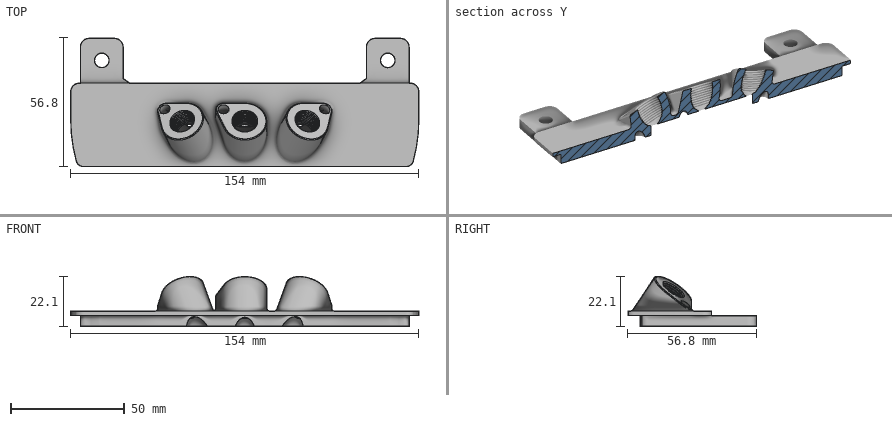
import cadquery as cq
import math

PLATE_LENGTH = 154.0
PLATE_DEPTH = 37.0
PLATE_THICKNESS = 2.0
PLATE_BACK_RADIUS = 4.0
PLATE_FRONT_RADIUS = 3.5
PLATE_STRAIGHT_DEPTH = 16.0
PLATE_FRONT_INSET = 3.2

BRACKET_LENGTH = 145.4
BRACKET_HEIGHT = 4.8
RAIL_FRONT_Y = -31.6
RAIL_BACK_Y = -19.25
RAIL_STEP = 0.7
RAIL_STEP_OUTER_X = 68.0
RAIL_STEP_INNER_X = 64.2
RAIL_CORNER_RADIUS = 2.4
TAB_WIDTH = 19.0
TAB_BACK_Y = 19.8
TAB_CORNER_RADIUS = 4.0
TAB_HOLE_DIAMETER = 6.3
TAB_HOLE_Y = 10.0
GUSSET_BACK_Y = 2.0
GUSSET_INNER_X = 25.0

SOCKET_SPACING = 24.2
SOCKET_BASE_Y = -23.45
SOCKET_LENGTH = 12.1
SOCKET_TILT = 33.0
SIDE_LEAN = 20.0
SOCKET_RADIUS = 9.75
LOBE_RADIUS = 3.5
LOBE_X = -9.4
LOBE_Y = SOCKET_RADIUS - LOBE_RADIUS
RIM_CHAMFER = 0.4
FOOT_RADIUS = 1.25

BORE_DIAMETER = 10.58
THREAD_DIAMETER = 11.4
THREAD_PITCH = 1.0
THREAD_TURNS = 10
LOBE_HOLE_DIAMETER = 4.7
BORE_LENGTH = 3 * SOCKET_LENGTH

PLATE_TOP = BRACKET_HEIGHT + PLATE_THICKNESS
TOLERANCE = 0.01


def make_plate():
    """Flat plate whose ends curve inward towards the front edge."""
    half = PLATE_LENGTH / 2
    front_half = half - PLATE_FRONT_INSET
    curve_depth = PLATE_DEPTH - PLATE_STRAIGHT_DEPTH
    plate = (
        cq.Workplane("XY", origin=(0, 0, BRACKET_HEIGHT))
        .moveTo(-half, 0)
        .lineTo(half, 0)
        .lineTo(half, -PLATE_STRAIGHT_DEPTH)
        .tangentArcPoint((-PLATE_FRONT_INSET, -curve_depth))
        .lineTo(-front_half, -PLATE_DEPTH)
        .threePointArc(end_curve_middle(half, curve_depth), (-half, -PLATE_STRAIGHT_DEPTH))
        .close()
        .extrude(PLATE_THICKNESS)
    )
    plate = plate.edges("|Z and >Y").fillet(PLATE_BACK_RADIUS)
    return plate.edges("|Z and <Y").fillet(PLATE_FRONT_RADIUS)


def end_curve_middle(half, curve_depth):
    """Middle point of the left end curve, which is tangent to the straight end."""
    radius = (curve_depth**2 + PLATE_FRONT_INSET**2) / (2 * PLATE_FRONT_INSET)
    half_angle = math.asin(curve_depth / radius) / 2
    x = -half + radius * (1 - math.cos(half_angle))
    y = -PLATE_STRAIGHT_DEPTH - radius * math.sin(half_angle)
    return (x, y)


def make_bracket():
    """Front rail joined by sloping gussets to a drilled tab at each end."""
    outer_x = BRACKET_LENGTH / 2
    tab_inner_x = outer_x - TAB_WIDTH
    corner_y = RAIL_FRONT_Y + RAIL_STEP
    right_side = [
        (RAIL_STEP_INNER_X, RAIL_FRONT_Y),
        (RAIL_STEP_OUTER_X, corner_y),
        (outer_x, corner_y),
        (outer_x, TAB_BACK_Y),
        (tab_inner_x, TAB_BACK_Y),
        (tab_inner_x, GUSSET_BACK_Y),
        (GUSSET_INNER_X, RAIL_BACK_Y),
    ]
    left_side = [(-x, y) for x, y in reversed(right_side)]
    bracket = cq.Workplane("XY").polyline(right_side + left_side).close().extrude(BRACKET_HEIGHT)
    bracket = bracket.edges("|Z and >Y").fillet(TAB_CORNER_RADIUS)
    bracket = bracket.edges("|Z").edges("<X or >X").edges("<Y").fillet(RAIL_CORNER_RADIUS)
    hole_x = outer_x - TAB_WIDTH / 2
    holes = (
        cq.Workplane("XY")
        .pushPoints([(-hole_x, TAB_HOLE_Y), (hole_x, TAB_HOLE_Y)])
        .circle(TAB_HOLE_DIAMETER / 2)
        .extrude(BRACKET_HEIGHT)
    )
    return bracket.cut(holes)


def place(shape, side):
    """Move a shape built along Z, with its rim at Z = 0, onto a socket axis.

    side is -1, 0 or 1 for the left, middle or right socket; the right one is mirrored.
    """
    if side > 0:
        shape = shape.mirror("YZ")
    return (
        shape.translate((0, 0, SOCKET_LENGTH))
        .rotate((0, 0, 0), (1, 0, 0), -SOCKET_TILT)
        .rotate((0, 0, 0), (0, 1, 0), side * SIDE_LEAN)
        .translate((side * SOCKET_SPACING, SOCKET_BASE_Y, PLATE_TOP))
    )


def socket_body():
    """Round body and lobe wrapped by their two common tangent lines."""
    lobe_distance = math.hypot(LOBE_X, LOBE_Y)
    direction = math.atan2(LOBE_Y, LOBE_X)
    spread = math.acos((SOCKET_RADIUS - LOBE_RADIUS) / lobe_distance)
    first_tangent = direction - spread
    second_tangent = direction + spread

    def on_body(angle):
        return (SOCKET_RADIUS * math.cos(angle), SOCKET_RADIUS * math.sin(angle))

    def on_lobe(angle):
        return (LOBE_X + LOBE_RADIUS * math.cos(angle), LOBE_Y + LOBE_RADIUS * math.sin(angle))

    return (
        cq.Workplane("XY")
        .moveTo(*on_body(second_tangent))
        .threePointArc(on_body(direction + math.pi), on_body(first_tangent))
        .lineTo(*on_lobe(first_tangent))
        .threePointArc(on_lobe(direction), on_lobe(second_tangent))
        .close()
        .extrude(-BORE_LENGTH)
        .faces(">Z")
        .chamfer(RIM_CHAMFER)
    )


def socket_cuts():
    """Threaded main bore, with the thread as plain rings, and the lobe hole."""
    bore_radius = BORE_DIAMETER / 2
    thread_radius = THREAD_DIAMETER / 2
    bore = cq.Workplane("XY").circle(bore_radius).extrude(-BORE_LENGTH)
    profile = [(0, 0)]
    for turn in range(THREAD_TURNS):
        profile.append((thread_radius, -turn * THREAD_PITCH))
        profile.append((bore_radius, -turn * THREAD_PITCH - THREAD_PITCH / 2))
    profile.append((0, profile[-1][1]))
    thread = cq.Workplane("XZ").polyline(profile).close().revolve(360, (0, 0, 0), (0, 1, 0))
    lobe_hole = (
        cq.Workplane("XY").center(LOBE_X, LOBE_Y).circle(LOBE_HOLE_DIAMETER / 2).extrude(-BORE_LENGTH)
    )
    return bore.union(thread).union(lobe_hole)


def make_socket(plate, side):
    """Socket standing on its own copy of the plate, with a filleted foot."""
    above_bracket = (
        cq.Workplane("XY", origin=(0, 0, BRACKET_HEIGHT))
        .rect(2 * PLATE_LENGTH, 2 * PLATE_LENGTH)
        .extrude(PLATE_LENGTH)
    )
    body = place(socket_body(), side).intersect(above_bracket)
    inner_x = PLATE_LENGTH / 2 - PLATE_FRONT_INSET
    foot_edges = cq.selectors.BoxSelector(
        (-inner_x, -PLATE_DEPTH + TOLERANCE, PLATE_TOP - TOLERANCE),
        (inner_x, -TOLERANCE, PLATE_TOP + TOLERANCE),
        boundingbox=True,
    )
    return plate.union(body).edges(foot_edges).fillet(FOOT_RADIUS)


plate = make_plate()
result = make_bracket().union(plate)
for side in (-1, 0, 1):
    result = result.union(make_socket(plate, side))
for side in (-1, 0, 1):
    result = result.cut(place(socket_cuts(), side))